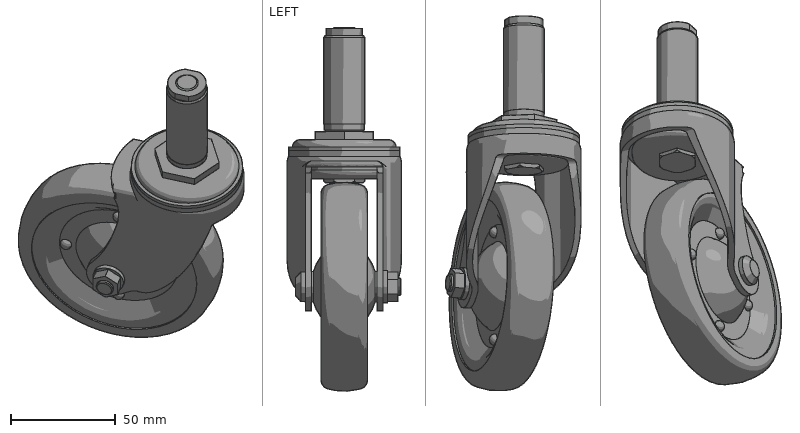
import cadquery as cq
import math


OVERALL_HEIGHT = 173.9
HEX_HALF_ANGLE = 30
HEX_CORNER_RATIO = 1 / math.cos(math.radians(HEX_HALF_ANGLE))

WHEEL_RADIUS = 100.0 / 2
TREAD_EDGE_RADIUS = 49.0
TREAD_HALF_WIDTH = 7.0
TYRE_HALF_WIDTH = 11.1
TYRE_SIDE_OUTER_RADIUS = 44.0
TYRE_SIDE_INNER_RADIUS = 41.2
RIM_LIP_RADIUS = 40.2
RIM_BEND_RADIUS = 35.1
RIM_BEND_SAG = 0.7
RIM_BEND_DEPTH = 2.5
RIM_STEP = 0.9
DISC_RADIUS = 29.5
DISC_HALF_WIDTH = 3.3
DOME_RADIUS = 21.4
BOSS_RADIUS = 7.3
DOME_HALF_WIDTH = 14.8
RIVET_CIRCLE_RADIUS = 26.3
RIVET_RADIUS = 2.8
RIVET_COUNT = 4

SHEET = 3.0
LEG_OUTER_Y = 18.6
LEG_INNER_Y = LEG_OUTER_Y - SHEET
LEG_END_RADIUS = 11.5
LEG_REAR_ANGLE = -50
LEG_FRONT_ANGLE = -212
REAR_CORNER_X = 51.1
REAR_CORNER_RADIUS = 2.5
REAR_EDGE_MIDDLE = (37.0, 19.1)
REAR_EDGE_END = (15.7, -3.1)
FRONT_EDGE = [(-3.1, 16.3), (2.0, 30.5), (4.2, 48.7), (0.9, 56.3)]

SWIVEL_X = 33.0
HEAD_RADIUS = 54.8 / 2
HEAD_NECK_RADIUS = 26.6
HEAD_BOTTOM = 52.3
HEAD_SHOULDER = 59.1
HEAD_NECK_BOTTOM = 62.3
HEAD_TOP = 65.0
FLARE_RADIUS = 9.5
PLATE_TOP = 60.2
PLATE_BOTTOM = PLATE_TOP - SHEET
PLATE_BEND_RADIUS = 3.8
LIP_RADIUS = 36.2
LIP_ROUNDING = 1.0

CAP_RADIUS = 24.9
CAP_FLAT_RADIUS = 20.9
CAP_ROUND_INSET = 1 - math.sqrt(0.5)
CAP_BOTTOM = 66.8
CAP_TOP = 70.3
HEX_TOP = 74.0
HEX_ACROSS_FLATS = 27.8
STEM_RADIUS = 19.7 / 2
STEM_BOTTOM = 77.7
STEM_FOOT_RADIUS = 19.3 / 2
STEM_FOOT_CHAMFER = 0.9
STEM_SHOULDER = 119.0
COLLAR_RADIUS = 9.2
COLLAR_SHOULDER_HEIGHT = 1.0
COLLAR_TOP = 123.5
COLLAR_ACROSS_FLATS = 17.2
TIP_BASE_RADIUS = 5.4
TIP_TOP_RADIUS = 4.7
TIP_TOP = OVERALL_HEIGHT - WHEEL_RADIUS
KINGPIN_RADIUS = 8.7
RACE_NECK_RADIUS = 20.0
RACE_RADIUS = 21.7
RACE_TOP = 55.6
RACE_BOTTOM = 51.5
RACE_ROUNDING = 3.5
KINGPIN_NUT_BOTTOM = 49.5
KINGPIN_NUT_ACROSS_FLATS = 17.0
KINGPIN_NUT_CHAMFER = 0.9

AXLE_RADIUS = 4.2
AXLE_END_Y = 27.1
AXLE_END_CHAMFER = 0.5
BOLT_HEAD_RADIUS = 7.1
BOLT_HEAD_RIM = 2.0
BOLT_HEAD_HEIGHT = 4.7
BOLT_HEAD_FLAT_RADIUS = 4.3
FLANGE_RADIUS = 7.7
FLANGE_THICKNESS = 2.0
NUT_ACROSS_FLATS = 12.3
NUT_END_Y = 25.5


def revolve_about_axle(profile):
    """Revolve a closed (radius, y) profile about the axle line."""
    return profile.close().revolve(360, (0, 0, 0), (0, 1, 0))


def revolve_about_swivel(profile):
    """Revolve a closed (radius, z) profile about the swivel line."""
    return profile.close().revolve(360, (0, 0, 0), (0, 1, 0)).translate((SWIVEL_X, 0, 0))


def cylinder_on_swivel(radius, bottom, top):
    return cq.Workplane("XY", origin=(SWIVEL_X, 0, bottom)).circle(radius).extrude(top - bottom)


def hexagon_on_swivel(across_flats, bottom, top):
    outline = cq.Workplane("XY", origin=(SWIVEL_X, 0, bottom)).polygon(6, across_flats * HEX_CORNER_RATIO)
    return outline.extrude(top - bottom)


def shoulder_middle():
    """The middle point (radius, y) of the rounded tyre shoulder, a quarter of an ellipse."""
    share = math.sqrt(0.5)
    return (
        TYRE_SIDE_OUTER_RADIUS + share * (TREAD_EDGE_RADIUS - TYRE_SIDE_OUTER_RADIUS),
        TREAD_HALF_WIDTH + share * (TYRE_HALF_WIDTH - TREAD_HALF_WIDTH),
    )


def dome_middle():
    """The middle point (radius, y) of the hub dome, part of a sphere through its two rims."""
    mean_y = (DISC_HALF_WIDTH + DOME_HALF_WIDTH) / 2
    rise = DOME_HALF_WIDTH - DISC_HALF_WIDTH
    centre_y = mean_y - (DOME_RADIUS**2 - BOSS_RADIUS**2) / (2 * rise)
    sphere_radius = math.hypot(DOME_RADIUS, DISC_HALF_WIDTH - centre_y)
    middle_radius = (DOME_RADIUS + BOSS_RADIUS) / 2
    return (middle_radius, centre_y + math.sqrt(sphere_radius**2 - middle_radius**2))


def make_half_wheel():
    """The +Y half: out along the middle plane, over the tyre side and down the rim and hub."""
    lip_y = TYRE_HALF_WIDTH - RIM_STEP
    bend_y = lip_y - RIM_BEND_DEPTH
    bend_middle = ((RIM_BEND_RADIUS + RIM_LIP_RADIUS) / 2, (lip_y + bend_y) / 2 + RIM_BEND_SAG)
    body = revolve_about_axle(
        cq.Workplane("XY")
        .moveTo(AXLE_RADIUS, 0)
        .lineTo(TREAD_EDGE_RADIUS, 0)
        .lineTo(TREAD_EDGE_RADIUS, TREAD_HALF_WIDTH)
        .threePointArc(shoulder_middle(), (TYRE_SIDE_OUTER_RADIUS, TYRE_HALF_WIDTH))
        .lineTo(TYRE_SIDE_INNER_RADIUS, TYRE_HALF_WIDTH)
        .lineTo(TYRE_SIDE_INNER_RADIUS, lip_y)
        .lineTo(RIM_LIP_RADIUS, lip_y)
        .threePointArc(bend_middle, (RIM_BEND_RADIUS, bend_y))
        .lineTo(DISC_RADIUS, DISC_HALF_WIDTH)
        .lineTo(DOME_RADIUS, DISC_HALF_WIDTH)
        .threePointArc(dome_middle(), (BOSS_RADIUS, DOME_HALF_WIDTH))
        .lineTo(BOSS_RADIUS, LEG_INNER_Y)
        .lineTo(AXLE_RADIUS, LEG_INNER_Y)
    )
    return body.union(make_rivets())


def make_wheel():
    """Two mirrored halves under a crowned tread."""
    half = make_half_wheel()
    crown = revolve_about_axle(
        cq.Workplane("XY")
        .moveTo(TREAD_EDGE_RADIUS, -TREAD_HALF_WIDTH)
        .threePointArc((WHEEL_RADIUS, 0), (TREAD_EDGE_RADIUS, TREAD_HALF_WIDTH))
    )
    return half.union(half.mirror("XZ")).union(crown)


def make_rivets():
    rivets = cq.Workplane("XY")
    for i in range(RIVET_COUNT):
        angle = 2 * math.pi * i / RIVET_COUNT
        x = RIVET_CIRCLE_RADIUS * math.cos(angle)
        z = RIVET_CIRCLE_RADIUS * math.sin(angle)
        rivets = rivets.union(cq.Workplane("XY").sphere(RIVET_RADIUS).translate((x, DISC_HALF_WIDTH, z)))
    return rivets


def fork_plan(half_width, skirt_radius, flare, top):
    """A straight channel that flares into the round skirt, from below the axle up to top."""
    bottom = -LEG_END_RADIUS
    front = -2 * LEG_END_RADIUS
    flare_x = SWIVEL_X - math.sqrt(skirt_radius**2 - half_width**2)
    channel = (
        cq.Workplane("XY", origin=(0, 0, bottom))
        .moveTo(front, -half_width)
        .lineTo(SWIVEL_X, -half_width)
        .lineTo(SWIVEL_X, half_width)
        .lineTo(front, half_width)
        .close()
        .extrude(top - bottom)
    )
    plan = channel.union(cylinder_on_swivel(skirt_radius, bottom, top))
    near_flare = cq.selectors.BoxSelector(
        (flare_x - 1.7, -half_width - 1.7, bottom - 1.7), (flare_x + 1.7, half_width + 1.7, top + 1.7)
    )
    return plan.edges("|Z").edges(near_flare).fillet(flare)


def leg_end_point(degrees):
    """A point (x, z) on the round end of the legs."""
    angle = math.radians(degrees)
    return (LEG_END_RADIUS * math.cos(angle), LEG_END_RADIUS * math.sin(angle))


def fork_side():
    """The fork outline along Y: round leg end, swept-back rear edge and hollow front edge."""
    lip_x = SWIVEL_X - LIP_RADIUS
    rear_x = SWIVEL_X + HEAD_RADIUS
    return (
        cq.Workplane("XZ")
        .moveTo(lip_x, HEAD_TOP)
        .lineTo(rear_x, HEAD_TOP)
        .lineTo(rear_x, HEAD_BOTTOM)
        .lineTo(REAR_CORNER_X + REAR_CORNER_RADIUS, HEAD_BOTTOM)
        .radiusArc((REAR_CORNER_X, HEAD_BOTTOM - REAR_CORNER_RADIUS), -REAR_CORNER_RADIUS)
        .threePointArc(REAR_EDGE_MIDDLE, REAR_EDGE_END)
        .lineTo(*leg_end_point(LEG_REAR_ANGLE))
        .threePointArc(leg_end_point((LEG_REAR_ANGLE + LEG_FRONT_ANGLE) / 2), leg_end_point(LEG_FRONT_ANGLE))
        .spline(FRONT_EDGE, includeCurrent=True)
        .lineTo(lip_x, FRONT_EDGE[-1][1])
        .close()
        .extrude(HEAD_RADIUS, both=True)
    )


def make_head():
    """The round fork head, with a shoulder that curves in to the neck."""
    return revolve_about_swivel(
        cq.Workplane("XZ")
        .moveTo(0, HEAD_BOTTOM)
        .lineTo(HEAD_RADIUS, HEAD_BOTTOM)
        .lineTo(HEAD_RADIUS, HEAD_SHOULDER)
        .tangentArcPoint((HEAD_NECK_RADIUS - HEAD_RADIUS, HEAD_NECK_BOTTOM - HEAD_SHOULDER))
        .lineTo(HEAD_NECK_RADIUS, HEAD_TOP)
        .lineTo(0, HEAD_TOP)
    )


def beyond_lip():
    """The waste in front of the top plate, whose front edge is a rounded arc about the swivel line."""
    trim_bottom = PLATE_BOTTOM - SHEET
    around = cylinder_on_swivel(2 * LIP_RADIUS, trim_bottom, PLATE_TOP)
    plate = cylinder_on_swivel(LIP_RADIUS, PLATE_BOTTOM, PLATE_TOP).edges().fillet(LIP_ROUNDING)
    below_plate = cylinder_on_swivel(LIP_RADIUS - LIP_ROUNDING, trim_bottom, PLATE_BOTTOM)
    return around.cut(plate).cut(below_plate)


def make_fork():
    """A bent-sheet fork: top plate, two legs and a round skirt under the swivel head."""
    shell = fork_plan(LEG_OUTER_Y, HEAD_RADIUS, FLARE_RADIUS, PLATE_TOP)
    shell = shell.faces(">Z").edges().fillet(PLATE_BEND_RADIUS)
    cavity = fork_plan(LEG_INNER_Y, HEAD_RADIUS - SHEET, FLARE_RADIUS + SHEET, PLATE_BOTTOM)
    fork = shell.union(make_head()).cut(cavity).cut(beyond_lip()).intersect(fork_side())
    axle_hole = cq.Workplane("XZ").circle(AXLE_RADIUS).extrude(HEAD_RADIUS, both=True)
    return fork.cut(axle_hole).cut(cylinder_on_swivel(KINGPIN_RADIUS, HEAD_BOTTOM, HEAD_TOP))


def make_swivel_stem():
    """The stem with its hexagon, cap, kingpin, lower race and kingpin nut, all on the swivel line."""
    cap_round_middle = (
        CAP_RADIUS - CAP_ROUND_INSET * (CAP_RADIUS - CAP_FLAT_RADIUS),
        CAP_TOP - CAP_ROUND_INSET * (CAP_TOP - CAP_BOTTOM),
    )
    ring = cylinder_on_swivel(HEAD_NECK_RADIUS, HEAD_TOP, CAP_BOTTOM)
    cap = revolve_about_swivel(
        cq.Workplane("XZ")
        .moveTo(0, CAP_BOTTOM)
        .lineTo(CAP_RADIUS, CAP_BOTTOM)
        .threePointArc(cap_round_middle, (CAP_FLAT_RADIUS, CAP_TOP))
        .lineTo(0, CAP_TOP)
    )
    hexagon = hexagon_on_swivel(HEX_ACROSS_FLATS, CAP_TOP, HEX_TOP)
    stem = revolve_about_swivel(
        cq.Workplane("XZ")
        .moveTo(0, HEX_TOP)
        .lineTo(STEM_FOOT_RADIUS - STEM_FOOT_CHAMFER, HEX_TOP)
        .lineTo(STEM_FOOT_RADIUS, HEX_TOP + STEM_FOOT_CHAMFER)
        .lineTo(STEM_FOOT_RADIUS, STEM_BOTTOM)
        .lineTo(STEM_RADIUS, STEM_BOTTOM)
        .lineTo(STEM_RADIUS, STEM_SHOULDER)
        .lineTo(COLLAR_RADIUS, STEM_SHOULDER + COLLAR_SHOULDER_HEIGHT)
        .lineTo(COLLAR_RADIUS, COLLAR_TOP)
        .lineTo(TIP_BASE_RADIUS, COLLAR_TOP)
        .lineTo(TIP_TOP_RADIUS, TIP_TOP)
        .lineTo(0, TIP_TOP)
    )
    kingpin = cylinder_on_swivel(KINGPIN_RADIUS, PLATE_BOTTOM, HEAD_TOP)
    race_neck = cylinder_on_swivel(RACE_NECK_RADIUS, RACE_TOP, PLATE_BOTTOM)
    race = cylinder_on_swivel(RACE_RADIUS, RACE_BOTTOM, RACE_TOP).faces("<Z").edges().fillet(RACE_ROUNDING)
    body = ring
    for part in (cap, hexagon, stem, kingpin, race_neck, race, make_kingpin_nut()):
        body = body.union(part)
    return body.cut(make_collar_flats())


def make_kingpin_nut():
    """A nut with a corner on each side of the wheel and its lower corners turned down to a cone."""
    nut = hexagon_on_swivel(KINGPIN_NUT_ACROSS_FLATS, KINGPIN_NUT_BOTTOM, RACE_BOTTOM)
    nut = nut.rotate((SWIVEL_X, 0, 0), (SWIVEL_X, 0, 1), HEX_HALF_ANGLE)
    corner_radius = KINGPIN_NUT_ACROSS_FLATS * HEX_CORNER_RATIO / 2
    turned = cylinder_on_swivel(corner_radius, KINGPIN_NUT_BOTTOM, RACE_BOTTOM)
    return nut.intersect(turned.faces("<Z").chamfer(KINGPIN_NUT_CHAMFER))


def make_collar_flats():
    """The waste beside the two flats across the collar."""
    bottom = STEM_SHOULDER + COLLAR_SHOULDER_HEIGHT
    height = COLLAR_TOP - bottom
    around = cylinder_on_swivel(2 * COLLAR_RADIUS, bottom, COLLAR_TOP)
    between = cq.Workplane("XY", origin=(SWIVEL_X, 0, bottom)).rect(6 * COLLAR_RADIUS, COLLAR_ACROSS_FLATS)
    return around.cut(between.extrude(height))


def make_axle():
    """The bolt, with its head on the +Y side, and its flanged nut on the -Y side."""
    head_y = LEG_OUTER_Y + BOLT_HEAD_RIM
    head_end_y = LEG_OUTER_Y + BOLT_HEAD_HEIGHT
    flange_y = -LEG_OUTER_Y - FLANGE_THICKNESS
    bolt = revolve_about_axle(
        cq.Workplane("XY")
        .moveTo(0, head_end_y)
        .lineTo(BOLT_HEAD_FLAT_RADIUS, head_end_y)
        .lineTo(BOLT_HEAD_RADIUS, head_y)
        .lineTo(BOLT_HEAD_RADIUS, LEG_OUTER_Y)
        .lineTo(AXLE_RADIUS, LEG_OUTER_Y)
        .lineTo(AXLE_RADIUS, -LEG_OUTER_Y)
        .lineTo(FLANGE_RADIUS, -LEG_OUTER_Y)
        .lineTo(FLANGE_RADIUS, flange_y)
        .lineTo(AXLE_RADIUS, flange_y)
        .lineTo(AXLE_RADIUS, AXLE_END_CHAMFER - AXLE_END_Y)
        .lineTo(AXLE_RADIUS - AXLE_END_CHAMFER, -AXLE_END_Y)
        .lineTo(0, -AXLE_END_Y)
    )
    nut = (
        cq.Workplane("XZ", origin=(0, flange_y, 0))
        .transformed(rotate=(0, 0, HEX_HALF_ANGLE))
        .polygon(6, NUT_ACROSS_FLATS * HEX_CORNER_RATIO)
        .extrude(NUT_END_Y + flange_y)
    )
    return bolt.union(nut)


wheel = make_wheel()
fork = make_fork()
swivel_stem = make_swivel_stem()
axle = make_axle()
result = cq.Compound.makeCompound([wheel.val(), fork.val(), swivel_stem.val(), axle.val()])